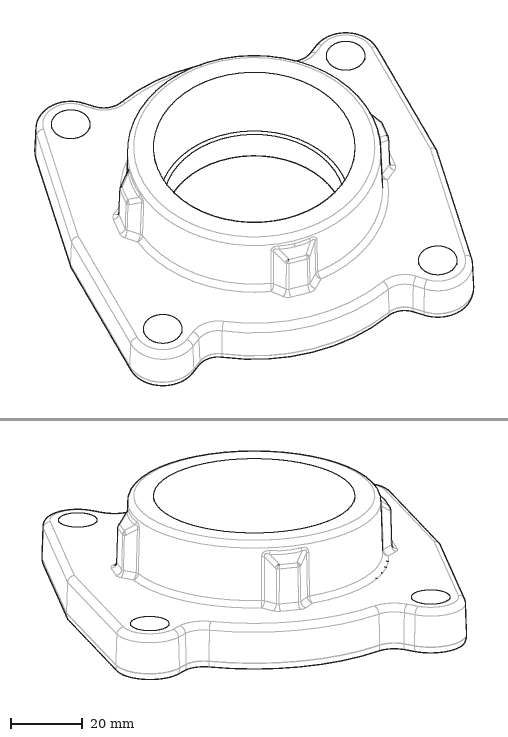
import cadquery as cq
import math

half_length = 54.1
side_radius = 51.4
bolt_offset = 40.5
lug_radius = 10.1
lug_flank_angle = 41.0
neck_radius = 6.0
bolt_hole_diameter = 10.8

flange_top = 13.0
parting_height = 2.0
flange_draft = 2.0
straight_band = 0.1
lower_round = 5.0
flange_edge_radius = 2.0

total_height = 31.8
boss_base_radius = 35.9
boss_draft = 1.8
boss_edge_radius = 1.7
base_fillet = 1.6

bore_radius = 25.3
seat_height = 9.0
seat_radius = 26.6
bore_top_radius = 28.1

rib_count = 4
rib_reach = 38.9
rib_tip_half_width = 3.2
rib_root = 32.5
rib_top = 28.5
rib_draft = 1.6
rib_edge_radius = 1.0
rib_roof_edge_radius = 1.5
rib_root_fillet = 1.3
rib_slope = 42.0

margin = 1.1


def arc_point(center, radius, angle):
    return (center[0] + radius * math.cos(angle), center[1] + radius * math.sin(angle))


def flange_outline(height):
    """Closed flange outline: shallow-peaked ends, four round lugs and bulged sides."""
    lug_center = (bolt_offset, bolt_offset)
    peak_rise = half_length - bolt_offset
    peak_distance = math.hypot(bolt_offset, peak_rise)
    end_fall = math.asin(peak_rise / peak_distance) - math.asin(lug_radius / peak_distance)

    start_angle = math.pi / 2 - end_fall
    flank_angle = math.radians(lug_flank_angle)
    lug_start = arc_point(lug_center, lug_radius, start_angle)
    lug_middle = arc_point(lug_center, lug_radius, (start_angle - flank_angle) / 2)
    lug_end = arc_point(lug_center, lug_radius, -flank_angle)

    normal = (math.cos(flank_angle), -math.sin(flank_angle))
    flank_distance = bolt_offset * (normal[0] + normal[1]) + lug_radius
    across = flank_distance + neck_radius
    along = math.sqrt((side_radius + neck_radius) ** 2 - across ** 2)
    neck_center = (across * normal[0] - along * normal[1], across * normal[1] + along * normal[0])
    side_angle = math.atan2(neck_center[1], neck_center[0])
    neck_start_angle = math.pi - flank_angle
    neck_end_angle = math.pi + side_angle
    neck_start = arc_point(neck_center, neck_radius, neck_start_angle)
    neck_middle = arc_point(neck_center, neck_radius, (neck_start_angle + neck_end_angle) / 2)
    neck_end = arc_point(neck_center, neck_radius, neck_end_angle)

    outline = cq.Workplane("XY").workplane(offset=height).moveTo(0, half_length)
    for turn in (1, -1):
        def leading(point):
            return (turn * point[0], turn * point[1])

        def trailing(point):
            return (turn * point[0], -turn * point[1])

        outline = (
            outline.lineTo(*leading(lug_start))
            .threePointArc(leading(lug_middle), leading(lug_end))
            .lineTo(*leading(neck_start))
            .threePointArc(leading(neck_middle), leading(neck_end))
            .threePointArc((turn * side_radius, 0), trailing(neck_end))
            .threePointArc(trailing(neck_middle), trailing(neck_start))
            .lineTo(*trailing(lug_end))
            .threePointArc(trailing(lug_middle), trailing(lug_start))
            .lineTo(0, -turn * half_length)
        )
    return outline.close()


def make_flange():
    """Flange drafted inwards above the parting level, with rounded edges."""
    upper = flange_outline(parting_height).extrude(flange_top - parting_height, taper=flange_draft)
    upper = upper.faces(">Z").edges().fillet(flange_edge_radius)
    lower = flange_outline(parting_height).extrude(-straight_band - lower_round)
    lower = lower.faces("<Z").edges().fillet(lower_round)
    below_bottom = cq.Workplane("XY").rect(3 * half_length, 3 * half_length).extrude(-2 * lower_round)
    lower = lower.cut(below_bottom)
    return upper.union(lower)


def make_boss():
    """Solid drafted boss with a rounded top rim."""
    boss_height = total_height - flange_top
    boss = (
        cq.Workplane("XY").workplane(offset=flange_top)
        .circle(boss_base_radius).extrude(boss_height, taper=boss_draft)
    )
    return boss.faces(">Z").edges().fillet(boss_edge_radius)


def make_rib():
    """Drafted rib reaching towards +X, with a sloping roof and rounded outer edges."""
    slope = math.tan(math.radians(rib_slope))
    root_half_width = rib_tip_half_width + (rib_reach - rib_root) * slope
    rib = (
        cq.Workplane("XY").workplane(offset=flange_top)
        .polyline([
            (rib_root, -root_half_width),
            (rib_reach, -rib_tip_half_width),
            (rib_reach, rib_tip_half_width),
            (rib_root, root_half_width),
        ]).close().extrude(total_height - flange_top, taper=rib_draft)
    )
    wall_radius = boss_base_radius - (rib_top - flange_top) * math.tan(math.radians(boss_draft))
    rib_shoulder = rib_top - (rib_reach - wall_radius) * slope
    above_roof = (
        cq.Workplane("XZ")
        .polyline([
            (rib_reach, rib_shoulder),
            (rib_reach, total_height),
            (wall_radius - (total_height - rib_top) / slope, total_height),
        ]).close().extrude(2 * root_half_width, both=True)
    )
    rib = rib.cut(above_roof)

    clear_of_root = rib_root + margin
    tip_corners = cq.selectors.BoxSelector(
        (clear_of_root, -root_half_width, flange_top + margin),
        (rib_reach, root_half_width, rib_shoulder - margin),
    )
    rib = rib.edges(tip_corners).edges("not #Z").fillet(rib_edge_radius)
    roof_edges = cq.selectors.BoxSelector(
        (clear_of_root, -root_half_width, rib_shoulder - margin),
        (rib_reach, root_half_width, total_height),
    )
    return rib.edges(roof_edges).fillet(rib_roof_edge_radius)


def make_hub():
    """Boss with its four ribs, blended where the ribs meet the wall."""
    hub = make_boss()
    rib = make_rib()
    rib_spacing = 360 / rib_count
    for k in range(rib_count):
        hub = hub.union(rib.rotate((0, 0, 0), (0, 0, 1), rib_spacing * k))
    junction_width = 2 * (2 * rib_tip_half_width + margin)
    junction_edges = cq.selectors.BoxSelector(
        (boss_base_radius - 2 * margin, -junction_width / 2, flange_top + margin),
        (boss_base_radius + margin / 2, junction_width / 2, rib_top + margin),
    )
    for _ in range(rib_count):
        hub = hub.rotate((0, 0, 0), (0, 0, 1), rib_spacing).edges(junction_edges).fillet(rib_root_fillet)
    return hub


def blend_base(part):
    """Fillet around the boss and ribs where they rise from the flange."""
    foot = rib_reach + margin
    base_edges = cq.selectors.BoxSelector(
        (-foot, -foot, flange_top - margin / 2), (foot, foot, flange_top + margin / 2)
    )
    return part.edges(base_edges).fillet(base_fillet)


def make_bore():
    """Through bore with a tapered socket above the seat."""
    profile = [
        (0, -margin),
        (bore_radius, -margin),
        (bore_radius, seat_height),
        (seat_radius, seat_height),
        (bore_top_radius, total_height),
        (0, total_height),
    ]
    return cq.Workplane("XZ").polyline(profile).close().revolve(360, (0, 0, 0), (0, 1, 0))


def make_bolt_holes():
    """Four through holes, one in each lug."""
    return (
        cq.Workplane("XY").rect(2 * bolt_offset, 2 * bolt_offset, forConstruction=True)
        .vertices().circle(bolt_hole_diameter / 2).extrude(total_height)
    )


solid = blend_base(make_flange().union(make_hub()))
result = solid.cut(make_bore()).cut(make_bolt_holes())